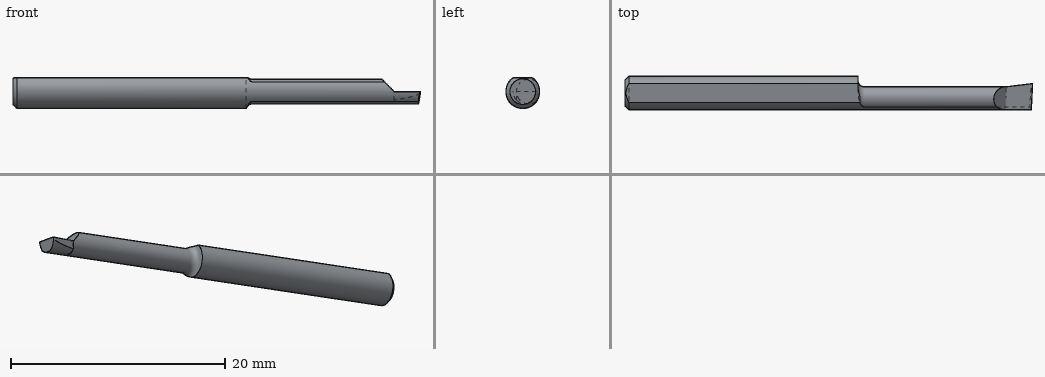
import cadquery as cq
import math

total_length = 38.1
shank_radius = 1.58
overall_height = 2.9
flat_height = overall_height - shank_radius
back_chamfer = 0.4

shank_length = 21.8
neck_radius = 1.162
neck_offset = -0.57
root_fillet = 0.57

rake_face_start = 35.62
head_side_shift = 0.3
ramp_foot_radius = 0.2
ramp_length = neck_radius + 0.4
end_lead = 0.1
end_clearance_angle = 8.0


def make_shank():
    """Round bar with a chamfered back end."""
    bar = cq.Workplane("YZ").circle(shank_radius).extrude(shank_length)
    return bar.faces("<X").chamfer(back_chamfer)


def make_flat_cutter():
    """Material above the flat along the top of the bar."""
    return (
        cq.Workplane("XY")
        .workplane(offset=flat_height)
        .rect(4 * total_length, 4 * shank_radius)
        .extrude(2 * shank_radius)
    )


def make_neck():
    """Eccentric round neck whose root flares into the shank with a concave fillet."""
    fillet_middle = root_fillet * (1 - math.sqrt(0.5))
    profile = (
        cq.Workplane("XY")
        .moveTo(shank_length, 0)
        .lineTo(shank_length, neck_radius + root_fillet)
        .threePointArc(
            (shank_length + fillet_middle, neck_radius + fillet_middle),
            (shank_length + root_fillet, neck_radius),
        )
        .lineTo(total_length, neck_radius)
        .lineTo(total_length, 0)
        .close()
    )
    return profile.revolve(360, (0, 0), (1, 0)).translate((0, neck_offset, 0))


def make_head_bulge():
    """Rounded side of the head, widening along the rake face to the cutting corner."""
    neck_side = neck_offset + neck_radius
    head_round = (
        cq.Workplane("YZ", origin=(rake_face_start, 0, 0))
        .center(neck_offset + head_side_shift, 0)
        .circle(neck_radius)
        .extrude(total_length - rake_face_start)
    )
    outline = (
        cq.Workplane("XY")
        .moveTo(rake_face_start, neck_offset)
        .lineTo(rake_face_start, neck_side)
        .lineTo(total_length, neck_side + head_side_shift)
        .lineTo(total_length, neck_offset)
        .close()
        .extrude(-2 * neck_radius)
    )
    return head_round.intersect(outline)


def make_rake_cutter():
    """Material above the rake face and its 45 degree ramp."""
    cutter = (
        cq.Workplane("XZ")
        .moveTo(rake_face_start, 0)
        .lineTo(total_length + ramp_length, 0)
        .lineTo(total_length + ramp_length, ramp_length)
        .lineTo(rake_face_start - ramp_length, ramp_length)
        .close()
        .extrude(2 * shank_radius, both=True)
    )
    foot_edge = cq.selectors.NearestToPointSelector((rake_face_start, 0, 0))
    return cutter.edges(foot_edge).fillet(ramp_foot_radius)


def make_end_cutter():
    """Material ahead of the end face, which leans back below its slanted cutting edge."""
    corner_y = neck_offset + head_side_shift + neck_radius
    lead_angle = math.degrees(math.atan2(end_lead, corner_y + shank_radius))
    block_size = 4 * shank_radius
    block = cq.Workplane("XY").box(block_size, 2 * block_size, block_size, centered=(False, True, True))
    block = block.rotate((0, 0, 0), (0, 1, 0), end_clearance_angle)
    block = block.rotate((0, 0, 0), (0, 0, 1), -lead_angle)
    return block.translate((total_length, corner_y, 0))


front_part = make_neck().union(make_head_bulge())
front_part = front_part.cut(make_rake_cutter()).cut(make_end_cutter())
shank_envelope = cq.Workplane("YZ").circle(shank_radius).extrude(total_length)
front_part = front_part.intersect(shank_envelope)

result = make_shank().union(front_part).cut(make_flat_cutter())